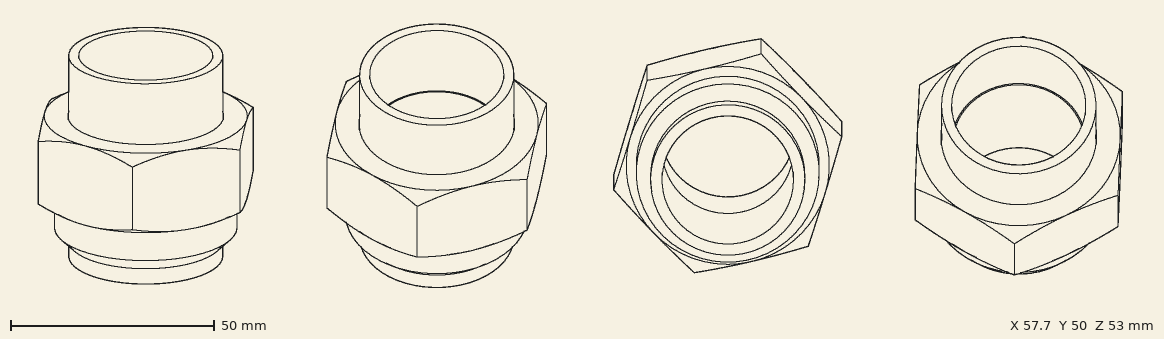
import cadquery as cq
import math

total_height = 53.0
nut_bottom = 16.0
nut_top = 37.0
seat_height = 33.3

hex_corner_radius = 28.85
hex_flat_radius = hex_corner_radius * math.cos(math.pi / 6)
pipe_radius = 19.0
collar_radius = 22.5
tail_bore_radius = 16.5
body_bore_radius = 16.15
nut_clearance = 0.2

nut_chamfer_angle = math.radians(30)
nut_chamfer_height = (hex_corner_radius - hex_flat_radius) * math.tan(nut_chamfer_angle)
spigot_height = 4.1
collar_chamfer = collar_radius - pipe_radius


def cylinder(radius, bottom, top):
    """Solid cylinder on the Z axis between two heights."""
    return cq.Workplane("XY").workplane(offset=bottom).circle(radius).extrude(top - bottom)


def make_body():
    """Lower body: a spigot, a 45 degree cone and a collar that enters the nut."""
    profile = [
        (body_bore_radius, 0),
        (pipe_radius, 0),
        (pipe_radius, spigot_height),
        (collar_radius, spigot_height + collar_chamfer),
        (collar_radius, seat_height),
        (body_bore_radius, seat_height),
    ]
    return cq.Workplane("XZ").polyline(profile).close().revolve(360, (0, 0), (0, 1))


def make_tail():
    """Upper pipe resting on the body."""
    tube = cylinder(pipe_radius, seat_height, total_height)
    return tube.cut(cylinder(tail_bore_radius, seat_height, total_height))


def make_nut():
    """Hexagon nut with conical corner chamfers, a collar bore and a top lip."""
    prism = (
        cq.Workplane("XY")
        .workplane(offset=nut_bottom)
        .polygon(6, 2 * hex_corner_radius)
        .extrude(nut_top - nut_bottom)
    )
    chamfer_profile = [
        (0, nut_bottom),
        (hex_flat_radius, nut_bottom),
        (hex_corner_radius, nut_bottom + nut_chamfer_height),
        (hex_corner_radius, nut_top - nut_chamfer_height),
        (hex_flat_radius, nut_top),
        (0, nut_top),
    ]
    envelope = cq.Workplane("XZ").polyline(chamfer_profile).close().revolve(360, (0, 0), (0, 1))
    collar_bore = cylinder(collar_radius, nut_bottom, seat_height)
    lip_bore = cylinder(pipe_radius + nut_clearance, seat_height, nut_top)
    return prism.intersect(envelope).cut(collar_bore).cut(lip_bore)


body = make_body()
tail = make_tail()
nut = make_nut()

result = cq.Compound.makeCompound([body.val(), tail.val(), nut.val()])